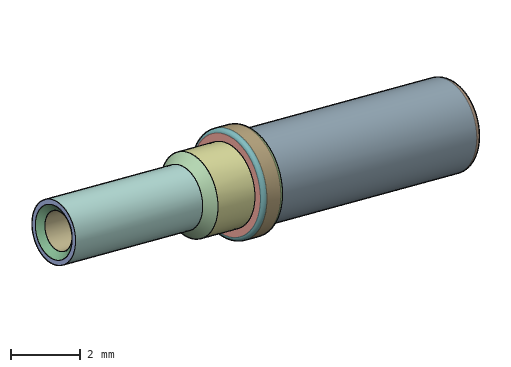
import cadquery as cq
import math

length = 14.99

tube_diameter = 1.98
shoulder_diameter = 2.61
flange_diameter = 3.37
body_diameter = 2.88

tube_length = 4.8
flange_start = 6.5
flange_thickness = 0.8

flange_fillet = 0.13
body_end_fillet = 0.22

bore_diameter = 1.23
bore_depth = 3.9
bore_tip_angle = 118.0
countersink_diameter = 1.66
countersink_depth = 0.18


def cylinder(diameter, start, end):
    """Solid cylinder along +Y between two places on the axis."""
    base = cq.Workplane("XZ", origin=(0, start, 0))
    return base.circle(diameter / 2).extrude(start - end)


def shoulder():
    """Step behind the tube, with a 45 degree lead-in down to the tube."""
    lead_in = (shoulder_diameter - tube_diameter) / 2
    step = cylinder(shoulder_diameter, tube_length, flange_start)
    return step.faces("<Y").chamfer(lead_in)


def flange():
    """Collar with both rims rounded."""
    collar = cylinder(flange_diameter, flange_start, flange_start + flange_thickness)
    return collar.edges("%CIRCLE").fillet(flange_fillet)


def body():
    """Thick barrel with its closed end rounded."""
    barrel = cylinder(body_diameter, flange_start, length)
    return barrel.faces(">Y").edges().fillet(body_end_fillet)


def bore():
    """Countersunk blind hole with a conical drill tip."""
    bore_radius = bore_diameter / 2
    tip_length = bore_radius / math.tan(math.radians(bore_tip_angle / 2))
    profile = (
        cq.Workplane("XY")
        .moveTo(0, 0)
        .lineTo(countersink_diameter / 2, 0)
        .lineTo(bore_radius, countersink_depth)
        .lineTo(bore_radius, bore_depth)
        .lineTo(0, bore_depth + tip_length)
        .close()
    )
    return profile.revolve(360, (0, 0, 0), (0, 1, 0))


tube = cylinder(tube_diameter, 0, flange_start)
result = tube.union(shoulder()).union(flange()).union(body()).cut(bore())